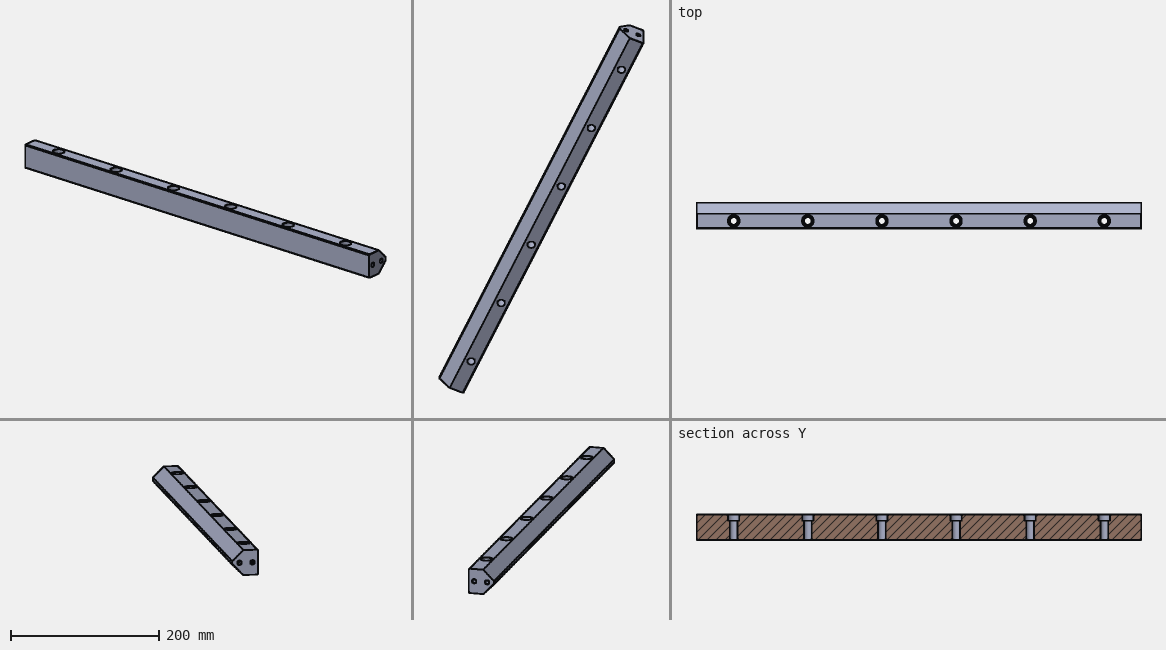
import cadquery as cq
import math

length = 600.0
width = 35.5
height = 35.0
nose_height = 5.0
wedge_depth = (height - nose_height) / 2
back_chamfer = 1.4
end_chamfer = 0.5

bolt_count = 6
bolt_pitch = length / bolt_count
bolt_back_distance = 11.0
bolt_diameter = 10.0
counterbore_diameter = 15.0
counterbore_depth = 8.5
rim_chamfer = 0.5

end_hole_diameter = 5.15
end_hole_rim_chamfer = 0.5
end_hole_depth = 12.0
drill_point_angle = 118
end_hole_back_distance = 8.0
end_hole_spacing = 18.0

back_y = -width / 2
nose_y = width / 2
top_z = height / 2


def make_bar():
    """Extrude the profile along X, then chamfer the long back edges and the end edges of the flat sides."""
    shoulder_y = nose_y - wedge_depth
    profile = [
        (back_y, -top_z),
        (shoulder_y, -top_z),
        (nose_y, -nose_height / 2),
        (nose_y, nose_height / 2),
        (shoulder_y, top_z),
        (back_y, top_z),
    ]
    bar = cq.Workplane("YZ").polyline(profile).close().extrude(length / 2, both=True)
    bar = bar.faces("<Y").edges("|X").chamfer(back_chamfer)
    return bar.faces("<X or >X").edges("|Y or <Y").chamfer(end_chamfer)


def cone_at_rim(diameter, chamfer, center, inward):
    """Conical cutter that chamfers the rim of a round hole."""
    outer_radius = diameter / 2 + chamfer
    return cq.Workplane(cq.Solid.makeCone(outer_radius, diameter / 2, chamfer, center, inward))


def cut_bolt_holes(bar):
    """Cut the through holes, counterbored from the top face with chamfered rims."""
    bolt_y = back_y + bolt_back_distance
    bar = (
        bar.faces(">Z")
        .workplane(origin=(0, bolt_y, top_z))
        .rarray(bolt_pitch, 6, bolt_count, 1)
        .cboreHole(bolt_diameter, counterbore_diameter, counterbore_depth)
    )
    for index in range(bolt_count):
        bolt_x = (index - (bolt_count - 1) / 2) * bolt_pitch
        rim_center = cq.Vector(bolt_x, bolt_y, top_z)
        bar = bar.cut(cone_at_rim(counterbore_diameter, rim_chamfer, rim_center, cq.Vector(0, 0, -1)))
    return bar


def cut_end_holes(bar):
    """Cut a pair of drilled blind holes with chamfered rims at mid height into each end face."""
    end_hole_radius = end_hole_diameter / 2
    tip_height = end_hole_radius / math.tan(math.radians(drill_point_angle / 2))
    first_y = back_y + end_hole_back_distance
    for side in (-1, 1):
        inward = cq.Vector(-side, 0, 0)
        for hole_y in (first_y, first_y + end_hole_spacing):
            center = cq.Vector(side * length / 2, hole_y, 0)
            hole = cq.Solid.makeCylinder(end_hole_radius, end_hole_depth, center, inward)
            tip_center = center + inward * end_hole_depth
            tip = cq.Solid.makeCone(end_hole_radius, 0, tip_height, tip_center, inward)
            bar = bar.cut(cq.Workplane(hole)).cut(cq.Workplane(tip))
            bar = bar.cut(cone_at_rim(end_hole_diameter, end_hole_rim_chamfer, center, inward))
    return bar


result = cut_end_holes(cut_bolt_holes(make_bar()))